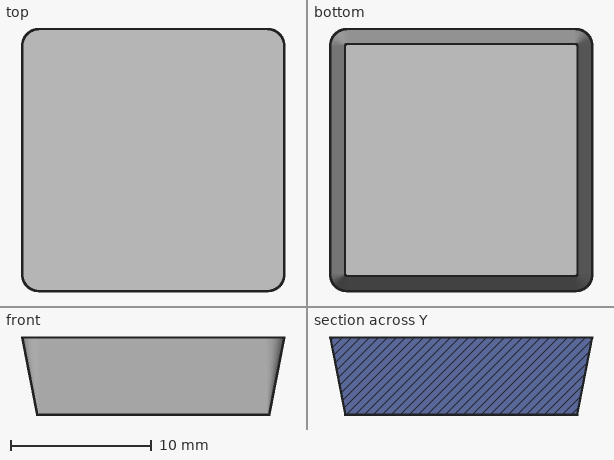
import cadquery as cq

top_side = 18.61
thickness = 5.5
top_corner_radius = 1.2
clearance_angle = 11.0


def make_insert():
    """Rounded square tapering downward, with conical corners, from its top face to z = 0."""
    top_outline = (
        cq.Sketch()
        .rect(top_side, top_side)
        .vertices()
        .fillet(top_corner_radius)
    )
    return (
        cq.Workplane("XY")
        .workplane(offset=thickness)
        .placeSketch(top_outline)
        .extrude(-thickness, taper=clearance_angle)
    )


result = make_insert()